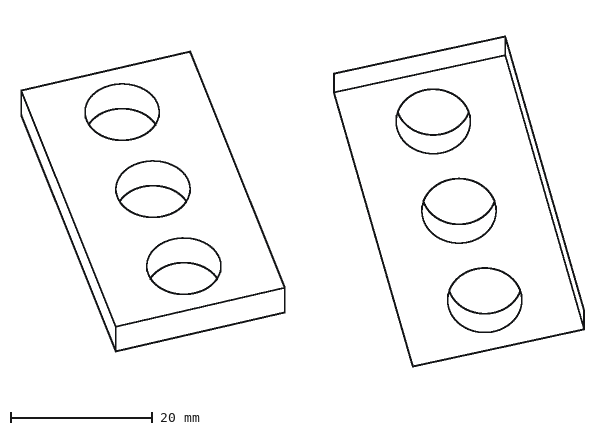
import cadquery as cq

length = 46.0
width = 25.0
thickness = 5.4

hole_diameter = 10.5
hole_pitch = 15.0
hole_count = 3

plate = cq.Workplane("XY").box(length, width, thickness)

result = (
    plate.faces(">Z")
    .workplane()
    .rarray(hole_pitch, width, hole_count, 1)
    .hole(hole_diameter)
)